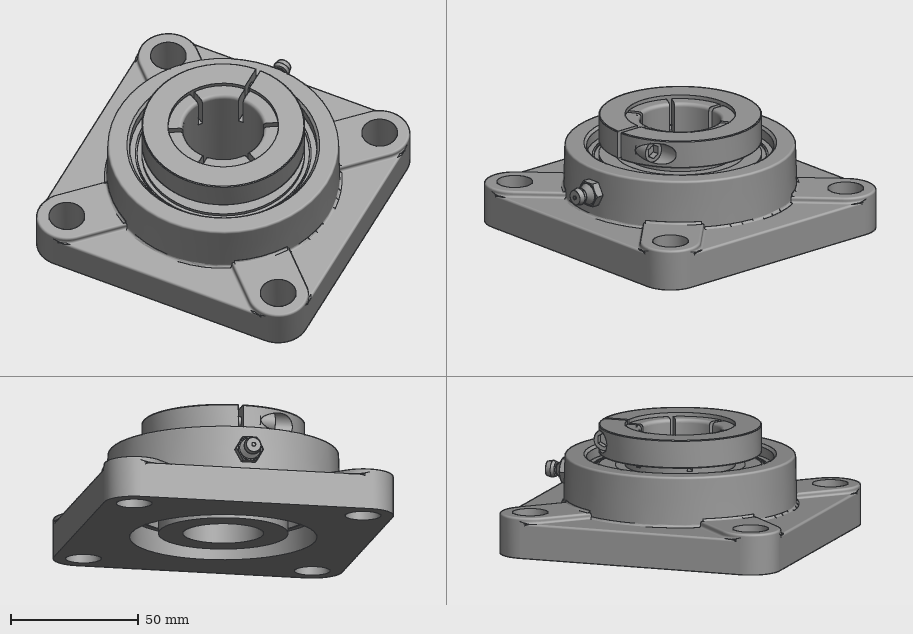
import cadquery as cq
import math

flange_side = 116.0
bolt_spacing = 92.1
bolt_hole_diameter = 14.0
flange_top = 13.9
pad_top = 16.2
blend_radius = 0.9
corner_radius = (flange_side - bolt_spacing) / 2
edge_clearance = 0.1

boss_top = 33.9
boss_base_radius = 45.8
boss_top_radius = 45.4
opening_radius = 36.83
opening_chamfer = 1.0

bearing_mid_height = 19.0
outer_ring_radius = 36.0
outer_ring_half_width = 10.0
outer_ring_bore_radius = 33.9
bore_radius = 15.9
bore_rounding = 1.5
inner_ring_half_width = 17.5
inner_ring_radius = 25.5
inner_ring_top = 44.4
seal_recess = 0.6
seal_thickness = 1.4
flinger_radius = 32.0
flinger_thickness = 1.2
outer_ring_top = bearing_mid_height + outer_ring_half_width
outer_ring_bottom = bearing_mid_height - outer_ring_half_width
seal_top = outer_ring_top - seal_recess
flinger_top = seal_top + flinger_thickness

collar_radius = 32.0
collar_bottom = 34.7
collar_top = 45.9
collar_edge_chamfer = 0.3
sleeve_radius = 21.7
lip_radius = 24.9
lip_height = 0.9
lip_chamfer = 0.8
slit_width = 2.0
slit_count = 6
slit_bottom = 31.3

screw_offset = 26.7
screw_height = (collar_bottom + collar_top) / 2
screw_head_radius = 4.23
screw_head_start = -14.2
screw_head_length = 6.0
screw_head_end = screw_head_start + screw_head_length
screw_shank_radius = 2.1
screw_end = 11.6
socket_corner_diameter = 5.8
socket_depth = 2.9

nipple_height = 24.1
nipple_seat = 45.5
nipple_stem_radius = 2.9
nipple_stem_length = 5.8
hex_end = 48.8
hex_across_flats = 9.5
hex_chamfer_angle = 30.0
cone_base_radius = 4.23
cone_tip_radius = 3.0
cone_end = 50.1
neck_radius = 2.1
neck_start = 51.0
neck_end = 51.5
head_end_radius = 2.9
head_start = 51.7
head_middle_radius = 3.4
head_middle = 53.1
head_end = 55.3
tip_radius = 0.75
tip_end = 55.7


def disc(radius, bottom, top):
    return cq.Workplane("XY").workplane(offset=bottom).circle(radius).extrude(top - bottom)


def ring(outer_radius, inner_radius, bottom, top):
    return disc(outer_radius, bottom, top).cut(disc(inner_radius, bottom, top))


def edge_profile():
    """Section of the waste outside the rounded top edge of the flange at +X."""
    half = flange_side / 2
    start = half - blend_radius
    middle = start + blend_radius * math.sqrt(0.5)
    return (
        cq.Workplane("XZ")
        .moveTo(start, flange_top)
        .threePointArc((middle, middle - half + flange_top), (half, flange_top - blend_radius))
        .lineTo(half, flange_top)
        .close()
    )


def side_recess():
    """Space above the flange at +X, between two pads, with a round foot along the pads."""
    centre = bolt_spacing / 2
    half = flange_side / 2
    slant = corner_radius * math.sqrt(0.5)
    arc_x = centre + corner_radius * math.cos(math.pi / 8)
    arc_y = centre - corner_radius * math.sin(math.pi / 8)
    pocket = (
        cq.Workplane("XY").workplane(offset=flange_top)
        .moveTo(2 * slant, 0)
        .lineTo(centre + slant, centre - slant)
        .threePointArc((arc_x, arc_y), (half, centre))
        .lineTo(flange_side, centre)
        .lineTo(flange_side, -centre)
        .lineTo(half, -centre)
        .threePointArc((arc_x, -arc_y), (centre + slant, slant - centre))
        .close()
        .extrude(pad_top - flange_top)
    )
    return pocket.faces("<Z").edges("not(#X or #Y) or %CIRCLE").fillet(blend_radius)


def flange_edge():
    """Waste strip along the +X edge, kept clear of the pads."""
    centre = bolt_spacing / 2
    strip = edge_profile().extrude(centre, both=True)
    for side in (-1, 1):
        pad_end = disc(corner_radius + edge_clearance, 0, pad_top)
        strip = strip.cut(pad_end.translate((centre, side * centre, 0)))
    return strip


def make_plate():
    """Square flange with a raised pad around each bolt hole."""
    plate = cq.Workplane("XY").rect(flange_side, flange_side).extrude(pad_top).edges("|Z").fillet(corner_radius)
    recess = side_recess()
    for turn in range(4):
        plate = plate.cut(recess.rotate((0, 0, 0), (0, 0, 1), turn * 90))
    plate = plate.faces(">Z").edges().fillet(blend_radius)
    edge = flange_edge()
    for turn in range(4):
        plate = plate.cut(edge.rotate((0, 0, 0), (0, 0, 1), turn * 90))
    return plate


def boss_body(foot_height):
    """Slightly tapered boss with a round top edge and a concave blend where it meets a floor."""
    foot_radius = boss_base_radius + blend_radius
    arc_middle = blend_radius * (1 - math.sqrt(0.5))
    boss = (
        cq.Workplane("XZ")
        .lineTo(foot_radius, 0)
        .lineTo(foot_radius, foot_height)
        .threePointArc(
            (boss_base_radius + arc_middle, foot_height + arc_middle),
            (boss_base_radius, foot_height + blend_radius),
        )
        .lineTo(boss_top_radius, boss_top)
        .lineTo(0, boss_top)
        .close()
        .revolve(360, (0, 0, 0), (0, 1, 0))
    )
    return boss.faces(">Z").edges().fillet(blend_radius)


def boss_pad_foot():
    """Blend of the boss onto the four pads, no wider than the flat top of a pad."""
    width = 2 * (corner_radius - blend_radius)
    arm = cq.Workplane("XY").rect(flange_side, width).extrude(pad_top + blend_radius)
    arms = arm.rotate((0, 0, 0), (0, 0, 1), 45).union(arm.rotate((0, 0, 0), (0, 0, 1), 135))
    return boss_body(pad_top).intersect(arms)


def outer_ring_sphere():
    return cq.Workplane("XY").sphere(outer_ring_radius).translate((0, 0, bearing_mid_height))


def make_housing():
    body = make_plate().union(boss_body(flange_top)).union(boss_pad_foot())

    opening = disc(opening_radius, outer_ring_top, boss_top)
    mouth = cq.Workplane("XY").add(
        cq.Solid.makeCone(
            opening_radius, opening_radius + opening_chamfer, opening_chamfer,
            cq.Vector(0, 0, boss_top - opening_chamfer),
        )
    )
    base_opening = disc(opening_radius, 0, outer_ring_bottom)
    seat = outer_ring_sphere().intersect(disc(opening_radius, outer_ring_bottom, outer_ring_top))
    body = body.cut(opening).cut(mouth).cut(base_opening).cut(seat)

    bolt_holes = (
        cq.Workplane("XY").rect(bolt_spacing, bolt_spacing, forConstruction=True).vertices()
        .circle(bolt_hole_diameter / 2).extrude(pad_top)
    )
    return body.cut(bolt_holes).cut(nipple_stem())


def make_outer_ring():
    band = ring(outer_ring_radius, outer_ring_bore_radius, outer_ring_bottom, outer_ring_top)
    return band.intersect(outer_ring_sphere())


def make_inner_ring():
    """Inner ring with a slimmer upper sleeve, slit so that the collar can clamp it."""
    bottom = bearing_mid_height - inner_ring_half_width
    body = disc(inner_ring_radius, bottom, flinger_top).union(disc(sleeve_radius, bottom, inner_ring_top))
    body = body.cut(disc(bore_radius, bottom, inner_ring_top))
    bore_edge = cq.selectors.RadiusNthSelector(0)
    body = body.faces(">Z").edges("%CIRCLE").edges(bore_edge).fillet(bore_rounding)
    for index in range(slit_count):
        body = body.cut(slit(sleeve_radius, slit_bottom, 90 + index * 360 / slit_count))
    return body


def slit(length, bottom, angle):
    """Waste of a radial slit from the axis outwards, open at the top."""
    box = cq.Workplane("XY").box(length, slit_width, collar_top - bottom, centered=(False, True, False))
    return box.translate((0, 0, bottom)).rotate((0, 0, 0), (0, 0, 1), angle)


def make_seal():
    return ring(outer_ring_bore_radius, inner_ring_radius, seal_top - seal_thickness, seal_top)


def make_flinger():
    return ring(flinger_radius, inner_ring_radius, seal_top, flinger_top)


def screw_rod(radius, start, end):
    rod = cq.Workplane("YZ").workplane(offset=start).center(screw_offset, screw_height)
    return rod.circle(radius).extrude(end - start)


def make_collar():
    """Split collar with a short lip below it and a stepped hole for the screw."""
    lip_bottom = collar_bottom - lip_height
    body = disc(collar_radius, collar_bottom, collar_top).edges().chamfer(collar_edge_chamfer)
    lip = disc(lip_radius, lip_bottom, collar_bottom).faces("<Z").edges().chamfer(lip_chamfer)
    body = body.union(lip)
    body = body.cut(disc(sleeve_radius, lip_bottom, collar_top))
    body = body.cut(slit(collar_radius, lip_bottom, 90))
    body = body.cut(screw_rod(screw_head_radius, -collar_radius, screw_head_end))
    return body.cut(screw_rod(screw_shank_radius, screw_head_end, screw_end))


def make_screw():
    head = screw_rod(screw_head_radius, screw_head_start, screw_head_end)
    shank = screw_rod(screw_shank_radius, screw_head_end, screw_end)
    socket = (
        cq.Workplane("YZ").workplane(offset=screw_head_start).center(screw_offset, screw_height)
        .transformed(rotate=(0, 0, 90))
        .polygon(6, socket_corner_diameter).extrude(socket_depth)
    )
    return head.union(shank).cut(socket)


def nipple_stem():
    stem = cq.Workplane("XZ").workplane(offset=-nipple_seat).center(0, nipple_height)
    return stem.circle(nipple_stem_radius).extrude(nipple_stem_length)


def turned(outline):
    """Solid of revolution about the nipple axis from (radius, y) points."""
    return (
        cq.Workplane("XY").polyline(outline).close().revolve(360, (0, 0, 0), (0, 1, 0))
        .translate((0, 0, nipple_height))
    )


def make_nipple():
    """Hexagon with chamfered corners, a cone, a neck and a barrel-shaped head."""
    hex_corner_diameter = hex_across_flats / math.cos(math.pi / 6)
    hex_corner_radius = hex_corner_diameter / 2
    flat_radius = hex_across_flats / 2
    nut = (
        cq.Workplane("XZ").workplane(offset=-hex_end).center(0, nipple_height)
        .polygon(6, hex_corner_diameter).extrude(hex_end - nipple_seat)
    )
    rise = (hex_corner_radius - flat_radius) * math.tan(math.radians(hex_chamfer_angle))
    envelope = turned([
        (0, nipple_seat),
        (hex_corner_radius, nipple_seat),
        (hex_corner_radius, hex_end - rise),
        (flat_radius, hex_end),
        (0, hex_end),
    ])
    head = turned([
        (0, nipple_seat),
        (cone_base_radius, nipple_seat),
        (cone_base_radius, hex_end),
        (cone_tip_radius, cone_end),
        (neck_radius, neck_start),
        (neck_radius, neck_end),
        (head_end_radius, head_start),
        (head_middle_radius, head_middle),
        (head_end_radius, head_end),
        (tip_radius, head_end),
        (tip_radius, tip_end),
        (0, tip_end),
    ])
    return nut.intersect(envelope).union(head).union(nipple_stem())


housing = make_housing()
outer_ring = make_outer_ring()
inner_ring = make_inner_ring()
seal = make_seal()
flinger = make_flinger()
collar = make_collar()
screw = make_screw()
nipple = make_nipple()

bodies = [housing, outer_ring, inner_ring, seal, flinger, collar, screw, nipple]
result = cq.Compound.makeCompound([solid for body in bodies for solid in body.solids().vals()])